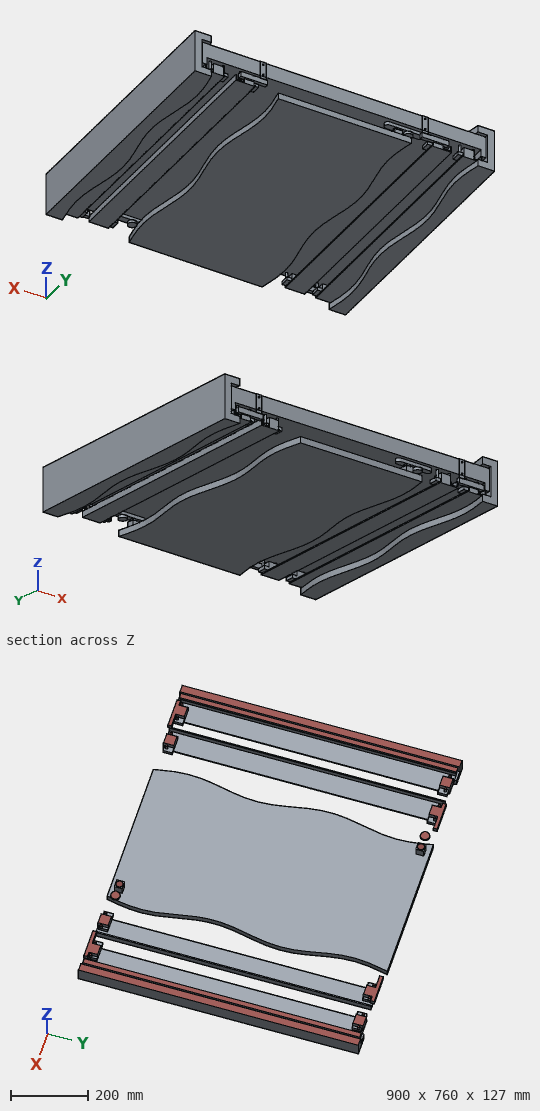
import cadquery as cq
import math

length_x = 900.0
length_y = 760.0
height = 127.0

flange_thickness = 21.0
web_thickness = 22.0
flange_depth = 49.5
wave_height = 13.0
wave_count = 2
points_per_wave = 16

tray_side_gap = 3.0
tray_end_gap = 4.0
tray_top_gap = 5.0
tray_height = 44.0
rim_thickness = 14.0
rim_height = 27.0
skirt_drop = 21.0

tray_side = length_x / 2 - web_thickness - tray_side_gap
tray_end = length_y / 2 - tray_end_gap
tray_top = height - flange_thickness - tray_top_gap
tray_bottom = tray_top - tray_height
skirt_bottom = tray_bottom - skirt_drop

outer_runner_x = 404.0
runner_step = 92.0
rail_overhang = 12.0
rail_width = 58.5
rail_thickness = 4.0
rail_bottom = 18.0
rail_floor = rail_bottom + rail_thickness
rail_half_length = 374.0

carriage_depth = 29.0
slide_inset = 13.5
slide_length = 30.0
foot_inset = 7.0
foot_length = 51.0
foot_setback = 4.0
pin_setback = 11.0
pin_inset = 9.0
pin_diameter = 7.0
small_pin_inset = 49.0
small_pin_diameter = 6.5

bar_length = 80.0
bar_height = 15.0
bar_depth = 11.0
bar_gap = 10.0
bar_top = tray_bottom - bar_gap
bar_bottom = bar_top - bar_height
strap_width = 18.0
strap_inset = 60.0
strap_thickness = 2.0
screw_hole_diameter = 4.0
screw_hole_top = 94.0
screw_hole_bottom = 61.0

arm_outer_x = 248.0
arm_inner_x = 134.0
arm_width = 19.0
arm_thickness = 10.0
arm_inset_y = 24.0
arm_boss_x = 205.0
arm_boss_diameter = 25.0
arm_boss_height = 8.0
arm_y = length_y / 2 - arm_inset_y
arm_bottom = tray_bottom - arm_thickness

shelf_half_width = 200.0
shelf_thickness = 18.0
post_x = 170.0
post_width = 22.0
neck_diameter = 19.0
neck_height = 5.0


def block(x_range, y_range, z_range):
    """Box between the given limits."""
    size = [limits[1] - limits[0] for limits in (x_range, y_range, z_range)]
    corner = (x_range[0], y_range[0], z_range[0])
    return cq.Workplane("XY").box(*size, centered=False).translate(corner)


def cylinder(x, y, diameter, z_bottom, z_top):
    """Upright cylinder."""
    return cq.Workplane("XY", origin=(x, y, z_bottom)).circle(diameter / 2).extrude(z_top - z_bottom)


def wave_points(mean_x, direction):
    """Points from -Y to +Y along a wavy edge that swings about mean_x."""
    steps = wave_count * points_per_wave
    points = []
    for i in range(steps + 1):
        swing = direction * wave_height * math.sin(2 * math.pi * i / points_per_wave)
        points.append((mean_x + swing, length_y * (i / steps - 0.5)))
    return points


def mirrored(body, flip_x, flip_y):
    """The body, mirrored across X = 0, Y = 0, both or neither."""
    if flip_x:
        body = body.mirror("YZ")
    if flip_y:
        body = body.mirror("XZ")
    return body


def make_channel():
    """Channel on the -X side: a web with two wavy flanges facing inward."""
    outer_x = -length_x / 2
    edge = wave_points(outer_x + flange_depth, -1)
    outline = (
        cq.Workplane("XY")
        .moveTo(outer_x, -length_y / 2)
        .lineTo(*edge[0])
        .spline(edge[1:], includeCurrent=True)
        .lineTo(outer_x, length_y / 2)
        .close()
        .extrude(height)
    )
    opening = block(
        (outer_x + web_thickness, 0),
        (-length_y, length_y),
        (flange_thickness, height - flange_thickness),
    )
    return outline.cut(opening)


def make_tray():
    """Shallow open tray with a skirt below each long side."""
    y_range = (-tray_end, tray_end)
    tray = block((-tray_side, tray_side), y_range, (tray_bottom, tray_top))
    inner_x = tray_side - rim_thickness
    inner_y = tray_end - rim_thickness
    tray = tray.cut(block((-inner_x, inner_x), (-inner_y, inner_y), (tray_top - rim_height, tray_top)))
    for x_range in ((-tray_side, -inner_x), (inner_x, tray_side)):
        tray = tray.union(block(x_range, y_range, (skirt_bottom, tray_bottom)))
    return tray


def make_rail(outer_x):
    """L-shaped rail along Y on the -X side, its leg on the outside."""
    left = -outer_x - rail_overhang
    y_range = (-rail_half_length, rail_half_length)
    base = block((left, left + rail_width), y_range, (rail_bottom, rail_floor))
    leg = block((left, left + rail_thickness), y_range, (rail_bottom, skirt_bottom))
    return base.union(leg)


def make_carriage(outer_x):
    """Carriage at the -X, -Y end of a rail, hung from the tray by two pins."""
    left = -outer_x
    front = -rail_half_length
    back = front + carriage_depth

    slide_left = left + slide_inset
    carriage = block((slide_left, slide_left + slide_length), (front, back), (rail_floor, bar_top))

    foot_left = left + foot_inset
    foot_x = (foot_left, foot_left + foot_length)
    carriage = carriage.union(block(foot_x, (front + foot_setback, back), (rail_floor, bar_bottom)))

    for inset, diameter in ((pin_inset, pin_diameter), (small_pin_inset, small_pin_diameter)):
        pin = cylinder(left + inset, front + pin_setback, diameter, bar_bottom, tray_bottom)
        carriage = carriage.union(pin)
    return carriage


def make_bar(outer_x):
    """Bar across the front of the -X, -Y carriage, with its strap up the end of the tray."""
    left = -outer_x
    front = -length_y / 2
    bar = block((left, left + bar_length), (front, front + bar_depth), (bar_bottom, bar_top))

    strap_left = left + strap_inset
    strap_right = strap_left + strap_width
    strap_front = -tray_end - strap_thickness
    strap = block((strap_left, strap_right), (strap_front, -tray_end), (bar_top, tray_top))
    for z in (screw_hole_bottom, screw_hole_top):
        hole = (
            cq.Workplane("XZ", origin=(strap_left + strap_width / 2, -tray_end, z))
            .circle(screw_hole_diameter / 2)
            .extrude(strap_thickness)
        )
        strap = strap.cut(hole)
    return bar.union(strap)


def make_arm():
    """Round-ended swivel arm for the -X, -Y corner, with a boss below it."""
    arm = (
        cq.Workplane("XY", origin=(-(arm_outer_x + arm_inner_x) / 2, -arm_y, arm_bottom))
        .slot2D(arm_outer_x - arm_inner_x, arm_width)
        .extrude(arm_thickness)
    )
    boss_bottom = arm_bottom - arm_boss_height
    return arm.union(cylinder(-arm_boss_x, -arm_y, arm_boss_diameter, boss_bottom, arm_bottom))


def make_frame():
    """Tray with its channels, runners, bars and arms, as one body."""
    inner_runner_x = outer_runner_x - runner_step
    frame = make_tray()
    for flip_x in (False, True):
        frame = frame.union(mirrored(make_channel(), flip_x, False))
        for runner_x in (outer_runner_x, inner_runner_x):
            frame = frame.union(mirrored(make_rail(runner_x), flip_x, False))
            for flip_y in (False, True):
                frame = frame.union(mirrored(make_carriage(runner_x), flip_x, flip_y))
        frame = frame.union(mirrored(make_bar(outer_runner_x), flip_x, False))
        frame = frame.union(mirrored(make_bar(inner_runner_x), flip_x, True))
        frame = frame.union(mirrored(make_arm(), flip_x, not flip_x))
    return frame


def make_shelf():
    """Lower shelf with wavy ends, with a necked post under each arm."""
    left_edge = wave_points(-shelf_half_width, -1)
    right_edge = wave_points(shelf_half_width, 1)[::-1]
    shelf = (
        cq.Workplane("XY")
        .moveTo(*left_edge[0])
        .spline(left_edge[1:], includeCurrent=True)
        .lineTo(*right_edge[0])
        .spline(right_edge[1:], includeCurrent=True)
        .close()
        .extrude(shelf_thickness)
    )
    half_post = post_width / 2
    neck_bottom = arm_bottom - neck_height
    for x, y in ((post_x, -arm_y), (-post_x, arm_y)):
        post_sides = (x - half_post, x + half_post), (y - half_post, y + half_post)
        shelf = shelf.union(block(*post_sides, (shelf_thickness, neck_bottom)))
        shelf = shelf.union(cylinder(x, y, neck_diameter, neck_bottom, arm_bottom))
    return shelf


frame = make_frame()
shelf = make_shelf()

result = cq.Compound.makeCompound([frame.val(), shelf.val()])